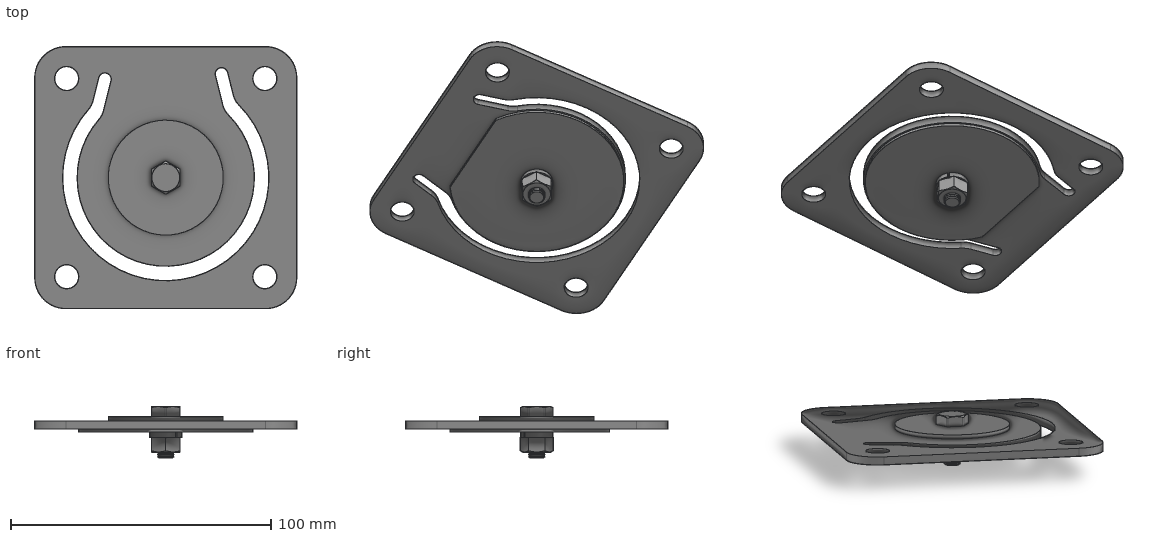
import cadquery as cq
import math

INCH = 25.4

PLATE_SIDE = 100.81
PLATE_THICK = INCH / 8
PLATE_CORNER_RADIUS = 12.0
MOUNT_SPACING = 3 * INCH
MOUNT_HOLE_DIAMETER = 9.13
BOLT_CLEARANCE_DIAMETER = 7.14

SLOT_INNER_RADIUS = 34.1
SLOT_OUTER_RADIUS = 39.6
ARM_WIDTH = 4.76
ARM_TILT = 14.0
ARM_BEND_RADIUS = 8.0
LEFT_ARM_END = (-23.4, 37.85)
RIGHT_ARM_END = (21.45, 39.85)

TOP_WASHER_DIAMETER = 44.2
TOP_WASHER_THICK = INCH / 16

BACKING_DIAMETER = 67.0
BACKING_THICK = 1.2
BACKING_FLAT_Y = 28.0

LOCK_WASHER_DIAMETER = 12.4
LOCK_WASHER_BORE = 6.86
LOCK_WASHER_THICK = 2.0
LOCK_GAP_WIDTH = 0.8
LOCK_GAP_ANGLE = -50.0

HEX_FLATS = INCH * 7 / 16
BOLT_DIAMETER = INCH / 4
BOLT_LENGTH = INCH * 5 / 8
HEAD_HEIGHT = INCH * 5 / 32
HEAD_EDGE_RADIUS = 0.6
HEAD_FACE_DIAMETER = 10.7
HEAD_CHAMFER_HEIGHT = 0.6
NUT_HEIGHT = 5.74
NUT_FACE_DIAMETER = 10.6
NUT_CHAMFER_HEIGHT = 0.6
THREAD_PITCH = INCH / 28
THREAD_DEPTH = 0.35
END_CHAMFER = 0.5

PLATE_BOTTOM = -PLATE_THICK
BACKING_BOTTOM = PLATE_BOTTOM - BACKING_THICK
LOCK_WASHER_BOTTOM = BACKING_BOTTOM - LOCK_WASHER_THICK
NUT_BOTTOM = LOCK_WASHER_BOTTOM - NUT_HEIGHT
HEAD_BOTTOM = TOP_WASHER_THICK
BOLT_END = HEAD_BOTTOM - BOLT_LENGTH


def disc(diameter, bottom, thick, bore):
    """Flat round disc with a central bore."""
    return (
        cq.Workplane("XY", origin=(0, 0, bottom))
        .circle(diameter / 2)
        .circle(bore / 2)
        .extrude(thick)
    )


def point_on_circle(start, direction, radius):
    """Where a line running from outside toward the circle first meets it."""
    along = start[0] * direction[0] + start[1] * direction[1]
    excess = start[0] ** 2 + start[1] ** 2 - radius**2
    travel = -along - math.sqrt(along**2 - excess)
    return start[0] + travel * direction[0], start[1] + travel * direction[1]


def slot_arm(end_centre, side):
    """Points of one arm (side -1 left, +1 right): the two bends, the two wall tops and the tip."""
    tilt = math.radians(ARM_TILT)
    down = (side * math.sin(tilt), -math.cos(tilt))
    outward = (side * math.cos(tilt), math.sin(tilt))
    half = ARM_WIDTH / 2
    outer_top = (end_centre[0] + half * outward[0], end_centre[1] + half * outward[1])
    inner_top = (end_centre[0] - half * outward[0], end_centre[1] - half * outward[1])
    return {
        "outer_bend": point_on_circle(outer_top, down, SLOT_OUTER_RADIUS),
        "outer_top": outer_top,
        "tip": (end_centre[0] - half * down[0], end_centre[1] - half * down[1]),
        "inner_top": inner_top,
        "inner_bend": point_on_circle(inner_top, down, SLOT_INNER_RADIUS),
    }


def slot_cutter():
    left = slot_arm(LEFT_ARM_END, -1)
    right = slot_arm(RIGHT_ARM_END, 1)
    cutter = (
        cq.Workplane("XY", origin=(0, 0, PLATE_BOTTOM))
        .moveTo(*left["outer_bend"])
        .threePointArc((0, -SLOT_OUTER_RADIUS), right["outer_bend"])
        .lineTo(*right["outer_top"])
        .threePointArc(right["tip"], right["inner_top"])
        .lineTo(*right["inner_bend"])
        .threePointArc((0, -SLOT_INNER_RADIUS), left["inner_bend"])
        .lineTo(*left["inner_top"])
        .threePointArc(left["tip"], left["outer_top"])
        .close()
        .extrude(PLATE_THICK)
    )
    for arm in (left, right):
        for bend in ("outer_bend", "inner_bend"):
            edge_middle = (*arm[bend], PLATE_BOTTOM + PLATE_THICK / 2)
            corner = cutter.edges("|Z").edges(cq.selectors.NearestToPointSelector(edge_middle))
            cutter = corner.fillet(ARM_BEND_RADIUS)
    return cutter


def make_plate():
    blank = (
        cq.Workplane("XY", origin=(0, 0, PLATE_BOTTOM))
        .rect(PLATE_SIDE, PLATE_SIDE)
        .extrude(PLATE_THICK)
        .edges("|Z")
        .fillet(PLATE_CORNER_RADIUS)
    )
    drilled = (
        blank.faces(">Z")
        .workplane()
        .rect(MOUNT_SPACING, MOUNT_SPACING, forConstruction=True)
        .vertices()
        .hole(MOUNT_HOLE_DIAMETER)
        .faces(">Z")
        .workplane()
        .hole(BOLT_CLEARANCE_DIAMETER)
    )
    return drilled.cut(slot_cutter())


def make_top_washer():
    return disc(TOP_WASHER_DIAMETER, 0, TOP_WASHER_THICK, BOLT_CLEARANCE_DIAMETER)


def make_backing_disc():
    whole = disc(BACKING_DIAMETER, BACKING_BOTTOM, BACKING_THICK, BOLT_CLEARANCE_DIAMETER)
    beyond_flat = cq.Workplane("XY", origin=(0, BACKING_FLAT_Y, BACKING_BOTTOM)).box(
        BACKING_DIAMETER, BACKING_DIAMETER, BACKING_THICK, centered=(True, False, False)
    )
    return whole.cut(beyond_flat)


def make_lock_washer():
    ring = disc(LOCK_WASHER_DIAMETER, LOCK_WASHER_BOTTOM, LOCK_WASHER_THICK, LOCK_WASHER_BORE)
    gap = (
        cq.Workplane("XY", origin=(0, 0, LOCK_WASHER_BOTTOM))
        .box(LOCK_WASHER_DIAMETER, LOCK_GAP_WIDTH, LOCK_WASHER_THICK, centered=(False, True, False))
        .rotate((0, 0, 0), (0, 0, 1), LOCK_GAP_ANGLE)
    )
    return ring.cut(gap)


def hexagon(bottom, height):
    """Hexagonal prism with two flats facing -X and +X."""
    return (
        cq.Workplane("XY", origin=(0, 0, bottom))
        .polygon(6, HEX_FLATS, circumscribed=True)
        .extrude(height)
    )


def trim_corners(prism, face_level, inner_level, chamfer_height, face_diameter):
    """Bevel the corners of a hexagonal prism with a cone that meets its end face in a circle."""
    corner_radius = HEX_FLATS / math.sqrt(3)
    bevel_level = face_level + math.copysign(chamfer_height, inner_level - face_level)
    envelope = (
        cq.Workplane("XZ")
        .polyline(
            [
                (0, face_level),
                (face_diameter / 2, face_level),
                (corner_radius, bevel_level),
                (corner_radius, inner_level),
                (0, inner_level),
            ]
        )
        .close()
        .revolve(360, (0, 0, 0), (0, 1, 0))
    )
    return prism.intersect(envelope)


def make_nut():
    prism = hexagon(NUT_BOTTOM, NUT_HEIGHT)
    bevelled = trim_corners(
        prism, NUT_BOTTOM, LOCK_WASHER_BOTTOM, NUT_CHAMFER_HEIGHT, NUT_FACE_DIAMETER
    )
    bore = cq.Workplane("XY", origin=(0, 0, NUT_BOTTOM)).circle(BOLT_DIAMETER / 2).extrude(NUT_HEIGHT)
    return bevelled.cut(bore)


def thread_groove(level):
    """V-shaped ring groove centred on the given level."""
    radius = BOLT_DIAMETER / 2
    return (
        cq.Workplane("XZ")
        .polyline(
            [
                (radius, level - THREAD_PITCH / 2),
                (radius - THREAD_DEPTH, level),
                (radius, level + THREAD_PITCH / 2),
            ]
        )
        .close()
        .revolve(360, (0, 0, 0), (0, 1, 0))
    )


def make_bolt():
    head_top = HEAD_BOTTOM + HEAD_HEIGHT
    prism = hexagon(HEAD_BOTTOM, HEAD_HEIGHT).edges("|Z").fillet(HEAD_EDGE_RADIUS)
    head = trim_corners(prism, head_top, HEAD_BOTTOM, HEAD_CHAMFER_HEIGHT, HEAD_FACE_DIAMETER)
    shank = (
        cq.Workplane("XY", origin=(0, 0, BOLT_END))
        .circle(BOLT_DIAMETER / 2)
        .extrude(BOLT_LENGTH)
        .faces("<Z")
        .chamfer(END_CHAMFER)
    )
    exposed_thread = NUT_BOTTOM - BOLT_END
    for turn in range(math.floor(exposed_thread / THREAD_PITCH)):
        shank = shank.cut(thread_groove(NUT_BOTTOM - (turn + 0.5) * THREAD_PITCH))
    return head.union(shank)


plate = make_plate()
top_washer = make_top_washer()
backing_disc = make_backing_disc()
lock_washer = make_lock_washer()
nut = make_nut()
bolt = make_bolt()

result = cq.Compound.makeCompound(
    [plate.val(), top_washer.val(), backing_disc.val(), lock_washer.val(), nut.val(), bolt.val()]
)